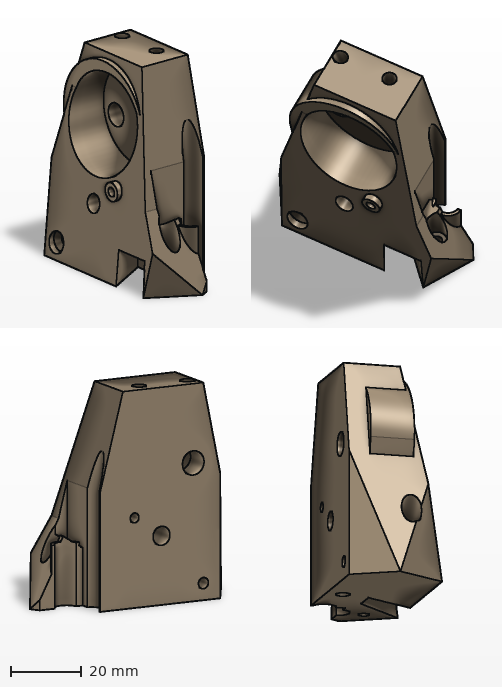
import cadquery as cq
import math

WIDTH = 61.85
DEPTH = 27.7
HEIGHT = 63.0
MARGIN = 6.3

SIDE_CORNER_Y = 14.75
FRONT_CORNER_X = 8.45
BACK_CORNER_X = 7.45

TOP_LEFT_X = 12.9
TOP_RIGHT_X = 38.95
SHOULDER_X = 49.1
SHOULDER_Z = 23.9
TOP_FRONT_Y = 11.1

HOUSING_X = 24.25
HOUSING_Z = 43.3
HOUSING_RADIUS = 17.95
HOUSING_FRONT_Y = 8.75
HOUSING_BACK_Y = 21.6
HOUSING_FLAT_START = 9.0
HOUSING_FLAT_LENGTH = 5.05
POCKET_X = 25.75
POCKET_Z = 42.95
POCKET_DIAMETER = 30.5
POCKET_FLOOR_Y = 19.85

POCKET_HOLE = (16.2, 40.05, 7.0)
CROSS_HOLE = (26.45, 20.05, 5.5)

SPIGOT_X = 35.15
SPIGOT_Z = 26.1
SPIGOT_DIAMETER = 5.6
SPIGOT_HOLE_DIAMETER = 2.8
SPIGOT_FRONT_Y = 3.0

SCREW_X = 12.9
SCREW_Z = 5.0
SCREW_HEAD_DIAMETER = 6.4
SCREW_DIAMETER = 3.2
SCREW_HEAD_BOTTOM_Y = 2.5

TOP_HOLES_Y = 22.75
TOP_HOLE_DIAMETER = 4.1
VERTICAL_HOLE_X = 30.95
LEANING_HOLE_X = 15.3
LEANING_HOLE_ANGLE = 22.0
LEANING_HOLE_DEPTH = 25.2

LEFT_HOLE_Y = 10.3
LEFT_HOLE_Z = 19.65
LEFT_HOLE_DIAMETER = 6.0
LEFT_HOLE_TO_FACE = 45.0
LEFT_HOLE_DEPTH = 15.75

CORNER_X = 46.3
CORNER_Y = 17.65
RELIEF_FRONT_Y = 8.45
RELIEF_FLOOR_Z = 16.7
RELIEF_ANGLE = 35.0
ROD_DIAMETER = 7.0
CORNER_ROD_X = 46.95
CORNER_ROD_Y = 23.75
COLLAR_X = 51.9
COLLAR_Y = 18.3
COLLAR_DIAMETER = 9.0
COLLAR_TOP_Z = 18.45

SLOPE_HOLE_X = 52.4
SLOPE_HOLE_Y = 10.35
SLOPE_HOLE_DIAMETER = 3.2
SLOPE_BORE_DIAMETER = 6.0
SLOPE_BORE_FLOOR_Z = 9.45

NOTCH_HEIGHT = 10.35
NOTCH_LEFT_X = 41.1
NOTCH_LEFT_ANGLE = 60.0
NOTCH_RIGHT_ANGLE = 48.0


def rod_along_y(x, z, diameter, start_y, end_y):
    plane = cq.Plane(origin=(x, start_y, z), xDir=(1, 0, 0), normal=(0, 1, 0))
    return cq.Workplane(plane).circle(diameter / 2).extrude(end_y - start_y)


def rod_along_z(x, y, diameter, start_z, end_z):
    plane = cq.Workplane("XY", origin=(x, y, start_z))
    return plane.circle(diameter / 2).extrude(end_z - start_z)


def slanted_rod(entry, angle_below_horizontal, diameter, depth):
    """Cylinder going down toward +X from its entry point, started outside the body."""
    angle = math.radians(angle_below_horizontal)
    direction = cq.Vector(math.cos(angle), 0, -math.sin(angle))
    start = cq.Vector(*entry) - direction * MARGIN
    return cq.Workplane(cq.Solid.makeCylinder(diameter / 2, depth + MARGIN, start, direction))


def prism_along_y(points, start_y, end_y):
    return cq.Workplane("XZ", origin=(0, start_y, 0)).polyline(points).close().extrude(start_y - end_y)


def make_body():
    """Hexagonal block trimmed by the sloping sides and the leaning front."""
    base = [
        (0, SIDE_CORNER_Y),
        (FRONT_CORNER_X, 0),
        (WIDTH - FRONT_CORNER_X, 0),
        (WIDTH, SIDE_CORNER_Y),
        (WIDTH - BACK_CORNER_X, DEPTH),
        (BACK_CORNER_X, DEPTH),
    ]
    block = cq.Workplane("XY").polyline(base).close().extrude(HEIGHT)
    silhouette = [
        (0, 0),
        (WIDTH, 0),
        (SHOULDER_X, SHOULDER_Z),
        (TOP_RIGHT_X, HEIGHT),
        (TOP_LEFT_X, HEIGHT),
    ]
    side = [(0, 0), (DEPTH, 0), (DEPTH, HEIGHT), (TOP_FRONT_Y, HEIGHT)]
    leaning_front = cq.Workplane("YZ").polyline(side).close().extrude(WIDTH)
    return block.intersect(prism_along_y(silhouette, 0, DEPTH)).intersect(leaning_front)


def make_housing():
    """Cylinder whose left side runs out in a tangent flat."""
    round_part = rod_along_y(HOUSING_X, HOUSING_Z, 2 * HOUSING_RADIUS, HOUSING_FRONT_Y, HOUSING_BACK_Y)
    angle = math.radians(HOUSING_FLAT_START)
    tangent_x = HOUSING_X - HOUSING_RADIUS * math.cos(angle)
    tangent_z = HOUSING_Z - HOUSING_RADIUS * math.sin(angle)
    end_x = tangent_x + HOUSING_FLAT_LENGTH * math.sin(angle)
    end_z = tangent_z - HOUSING_FLAT_LENGTH * math.cos(angle)
    flat = [(tangent_x, tangent_z), (end_x, end_z), (HOUSING_X, end_z), (HOUSING_X, HOUSING_Z)]
    return round_part.union(prism_along_y(flat, HOUSING_FRONT_Y, HOUSING_BACK_Y))


def cut_screw_hole(body):
    """Through hole with a cylindrical head recess ending in a 45 degree cone."""
    head_radius = SCREW_HEAD_DIAMETER / 2
    hole_radius = SCREW_DIAMETER / 2
    cone_end_y = SCREW_HEAD_BOTTOM_Y + head_radius - hole_radius
    profile = [
        (0, 0),
        (head_radius, 0),
        (head_radius, SCREW_HEAD_BOTTOM_Y),
        (hole_radius, cone_end_y),
        (hole_radius, DEPTH),
        (0, DEPTH),
    ]
    cutter = cq.Workplane("XY").polyline(profile).close().revolve(360, (0, 0), (0, 1))
    return body.cut(cutter.translate((SCREW_X, 0, SCREW_Z)))


def cut_leaning_holes(body):
    top_entry = (LEANING_HOLE_X, TOP_HOLES_Y, HEIGHT)
    body = body.cut(slanted_rod(top_entry, 90 - LEANING_HOLE_ANGLE, TOP_HOLE_DIAMETER, LEANING_HOLE_DEPTH))
    face_lean = math.degrees(math.atan2(TOP_LEFT_X, HEIGHT))
    left_entry = (LEFT_HOLE_Z * TOP_LEFT_X / HEIGHT, LEFT_HOLE_Y, LEFT_HOLE_Z)
    left_angle = 90 - LEFT_HOLE_TO_FACE + face_lean
    return body.cut(slanted_rod(left_entry, left_angle, LEFT_HOLE_DIAMETER, LEFT_HOLE_DEPTH))


def shape_back_corner(body):
    """Corner step, rising relief in front of it and the half collar, with both rod holes."""
    step = cq.Workplane("XY").box(WIDTH, DEPTH, HEIGHT, centered=False).translate((CORNER_X, CORNER_Y, 0))
    relief_end_z = RELIEF_FLOOR_Z + (WIDTH - CORNER_X) * math.tan(math.radians(RELIEF_ANGLE))
    relief = [(CORNER_X, RELIEF_FLOOR_Z), (WIDTH, relief_end_z), (WIDTH, HEIGHT), (CORNER_X, HEIGHT)]
    body = body.cut(prism_along_y(relief, RELIEF_FRONT_Y, DEPTH))
    body = body.union(rod_along_z(COLLAR_X, COLLAR_Y, COLLAR_DIAMETER, 0, COLLAR_TOP_Z))
    body = body.cut(step)
    for x, y in [(CORNER_ROD_X, CORNER_ROD_Y), (COLLAR_X, COLLAR_Y)]:
        body = body.cut(rod_along_z(x, y, ROD_DIAMETER, 0, HEIGHT))
    return body


def make_notch():
    """Notch whose two upright walls lean left going back, closed at the side-corner depth."""
    right_x = WIDTH - FRONT_CORNER_X
    left_run = SIDE_CORNER_Y / math.tan(math.radians(NOTCH_LEFT_ANGLE))
    right_run = SIDE_CORNER_Y / math.tan(math.radians(NOTCH_RIGHT_ANGLE))
    outline = [
        (NOTCH_LEFT_X, 0),
        (right_x, 0),
        (right_x - right_run, SIDE_CORNER_Y),
        (NOTCH_LEFT_X - left_run, SIDE_CORNER_Y),
    ]
    return cq.Workplane("XY").polyline(outline).close().extrude(NOTCH_HEIGHT)


result = make_body().union(make_housing())
result = result.cut(rod_along_y(POCKET_X, POCKET_Z, POCKET_DIAMETER, 0, POCKET_FLOOR_Y))

result = result.union(rod_along_y(SPIGOT_X, SPIGOT_Z, SPIGOT_DIAMETER, SPIGOT_FRONT_Y, DEPTH / 2))
spigot_hole = (SPIGOT_X, SPIGOT_Z, SPIGOT_HOLE_DIAMETER)
for hole_x, hole_z, hole_diameter in [POCKET_HOLE, CROSS_HOLE, spigot_hole]:
    result = result.cut(rod_along_y(hole_x, hole_z, hole_diameter, 0, DEPTH))
result = cut_screw_hole(result)

result = result.cut(rod_along_z(VERTICAL_HOLE_X, TOP_HOLES_Y, TOP_HOLE_DIAMETER, 0, HEIGHT))
result = cut_leaning_holes(result)

result = shape_back_corner(result)
result = result.cut(rod_along_z(SLOPE_HOLE_X, SLOPE_HOLE_Y, SLOPE_HOLE_DIAMETER, 0, HEIGHT))
result = result.cut(rod_along_z(SLOPE_HOLE_X, SLOPE_HOLE_Y, SLOPE_BORE_DIAMETER, SLOPE_BORE_FLOOR_Z, HEIGHT))
result = result.cut(make_notch())